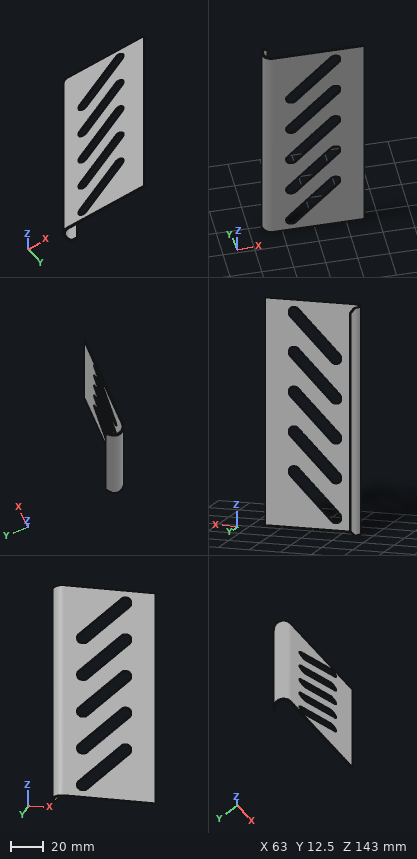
import cadquery as cq
import math

width = 63.0
depth = 12.5
height = 143.0
thickness = 1.0

roll_radius = 6.0
lip_angle = math.radians(45)
lip_bevel = 3.0

slot_count = 5
slot_pitch = 25.0
slot_width = 7.0
slot_center_distance = 38.0
slot_angle = 45.0
slot_center_x = 31.0

inner_radius = roll_radius - thickness
lip_start_y = roll_radius * (1 + math.cos(lip_angle))
lip_length = (depth - lip_start_y) / math.sin(lip_angle)


def roll_point(radius, along_lip=0.0):
    """Point where the roll meets the lip, moved a distance along the lip."""
    x = roll_radius - radius * math.sin(lip_angle) + along_lip * math.cos(lip_angle)
    y = roll_radius + radius * math.cos(lip_angle) + along_lip * math.sin(lip_angle)
    return x, y


def roll_middle(radius):
    """Point halfway round the arc between the plate and the lip."""
    half_sweep = (math.pi - lip_angle) / 2
    x = roll_radius - radius * math.sin(half_sweep)
    y = roll_radius - radius * math.cos(half_sweep)
    return x, y


def make_sheet():
    """Plate, roll and lip as one constant section along Z."""
    return (
        cq.Workplane("XY")
        .moveTo(width, 0)
        .lineTo(roll_radius, 0)
        .threePointArc(roll_middle(roll_radius), roll_point(roll_radius))
        .lineTo(*roll_point(roll_radius, lip_length))
        .lineTo(*roll_point(inner_radius, lip_length))
        .lineTo(*roll_point(inner_radius))
        .threePointArc(roll_middle(inner_radius), (roll_radius, thickness))
        .lineTo(width, thickness)
        .close()
        .extrude(height)
    )


def make_slots():
    """Row of slanted through slots, centred on the plate height."""
    first_z = height / 2 - slot_pitch * (slot_count - 1) / 2
    centers = [(slot_center_x, first_z + slot_pitch * i) for i in range(slot_count)]
    return (
        cq.Workplane("XZ")
        .pushPoints(centers)
        .slot2D(slot_center_distance + slot_width, slot_width, slot_angle)
        .extrude(-thickness)
    )


def bevel_lip(sheet):
    """Bevel both free corners of the lip, cutting square through its thickness."""
    tip_x, tip_y = roll_point(roll_radius - thickness / 2, lip_length)
    corners = cq.selectors.BoxSelector(
        (tip_x - thickness, tip_y - thickness, -thickness),
        (tip_x + thickness, tip_y + thickness, height + thickness),
    )
    across_lip = cq.selectors.ParallelDirSelector(cq.Vector(math.sin(lip_angle), -math.cos(lip_angle), 0))
    return sheet.edges(corners).edges(across_lip).chamfer(lip_bevel)


result = bevel_lip(make_sheet()).cut(make_slots())